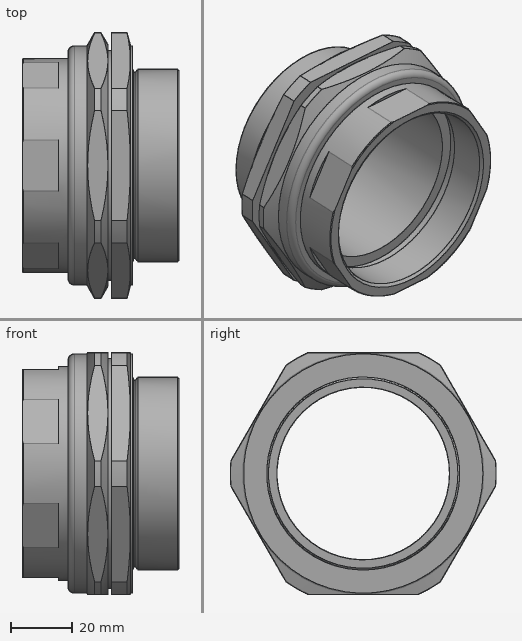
import cadquery as cq
import math


hex_across_flats = 79.0
hex_corner_radius = 43.4
front_ring_start = 21.1
front_ring_end = 28.05
rear_ring_start = 29.1
rear_cone_start = 34.2
front_cone_angle = 30.0
rear_cone_angle = 15.0
cone_root_radius = 39.35

length = 51.25
front_radius = 35.0
front_chamfer_length = 0.35
front_chamfer_drop = 0.22
collar_start = 14.9
collar_radius = 39.1
collar_fillet = 2.1
gap_radius = 37.6
flange_end = 36.05
shoulder_radius = 31.3
shoulder_end = 36.3
neck_radius = 30.5
tail_start = 36.8
tail_radius = 31.5
tail_end_chamfer = 0.6

spanner_across_flats = 68.0
spanner_length = 11.8

bore_radius = 28.1
counterbore_radius = 30.75
counterbore_depth = 16.3
relief_radius = 31.8
relief_start = 13.3
mouth_chamfer = 0.9

SIDES = 6


def revolve_about_x(points):
    """Solid of revolution about X from (x, radius) points; the axis closes the outline."""
    first_x = points[0][0]
    last_x = points[-1][0]
    outline = [(first_x, 0)] + points + [(last_x, 0)]
    return cq.Workplane("XY").polyline(outline).close().revolve(360, (0, 0, 0), (1, 0, 0))


def hex_prism(start, end, across_flats):
    """Hexagonal bar along X with corners on the Y axis."""
    corner_diameter = across_flats / math.cos(math.pi / SIDES)
    return cq.Workplane("YZ", origin=(start, 0, 0)).polygon(SIDES, corner_diameter).extrude(end - start)


def cone_length(angle, root_radius):
    """Axial length of a cone that drops from the hexagon corners to its root radius."""
    return (hex_corner_radius - root_radius) * math.tan(math.radians(angle))


def front_end():
    barrel = revolve_about_x([
        (0, front_radius - front_chamfer_drop),
        (front_chamfer_length, front_radius),
        (collar_start, front_radius),
    ])
    flats = hex_prism(0, spanner_length, spanner_across_flats)
    plain = revolve_about_x([(spanner_length, front_radius), (collar_start, front_radius)])
    return barrel.intersect(flats).union(plain)


def collar():
    ring = revolve_about_x([(collar_start, collar_radius), (front_ring_start, collar_radius)])
    return ring.faces("<X").edges().fillet(collar_fillet)


def front_ring():
    leading_cone = cone_length(front_cone_angle, collar_radius)
    trailing_cone = cone_length(front_cone_angle, cone_root_radius)
    turned = revolve_about_x([
        (front_ring_start, collar_radius),
        (front_ring_start + leading_cone, hex_corner_radius),
        (front_ring_end - trailing_cone, hex_corner_radius),
        (front_ring_end, cone_root_radius),
    ])
    return turned.intersect(hex_prism(front_ring_start, front_ring_end, hex_across_flats))


def rear_ring():
    rear_cone_end = rear_cone_start + cone_length(rear_cone_angle, cone_root_radius)
    turned = revolve_about_x([
        (rear_ring_start, hex_corner_radius),
        (rear_cone_start, hex_corner_radius),
        (rear_cone_end, cone_root_radius),
        (rear_cone_end, collar_radius),
        (flange_end, collar_radius),
    ])
    return turned.intersect(hex_prism(rear_ring_start, flange_end, hex_across_flats))


def rear_end():
    tail_step = tail_radius - neck_radius
    return revolve_about_x([
        (front_ring_end, gap_radius),
        (rear_ring_start, gap_radius),
        (rear_ring_start, shoulder_radius),
        (shoulder_end, shoulder_radius),
        (shoulder_end, neck_radius),
        (tail_start, neck_radius),
        (tail_start + tail_step, tail_radius),
        (length - tail_end_chamfer, tail_radius),
        (length, tail_radius - tail_end_chamfer),
    ])


def bore():
    return revolve_about_x([
        (0, counterbore_radius + mouth_chamfer),
        (mouth_chamfer, counterbore_radius),
        (relief_start, counterbore_radius),
        (relief_start, relief_radius),
        (counterbore_depth, relief_radius),
        (counterbore_depth, bore_radius),
        (length, bore_radius),
    ])


outside = front_end().union(collar()).union(front_ring()).union(rear_ring()).union(rear_end())
result = outside.cut(bore())